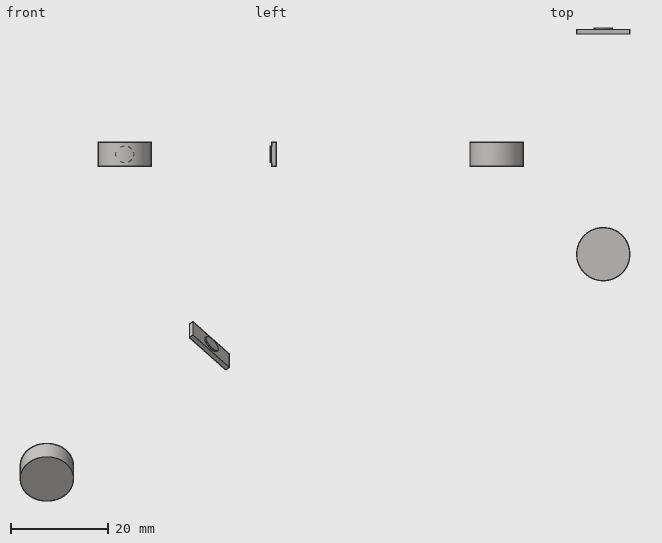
import cadquery as cq

overall_length = 52.05
height = 5.0
disc_diameter = 11.0

plate_width = disc_diameter
plate_thickness = 1.0

pad_width = 3.75
pad_height = 3.4
pad_thickness = 0.3

back_y = overall_length - disc_diameter / 2
plate_back_y = back_y - pad_thickness
plate_center_y = plate_back_y - plate_thickness / 2


def make_disc():
    """Plain round disc standing on the XY plane."""
    return cq.Workplane("XY").circle(disc_diameter / 2).extrude(height)


def make_plate():
    """Upright plate with a low oval pad centred on its back face."""
    plate = (
        cq.Workplane("XY")
        .center(0, plate_center_y)
        .rect(plate_width, plate_thickness)
        .extrude(height)
    )
    pad = (
        cq.Workplane("XZ", origin=(0, plate_center_y, height / 2))
        .ellipse(pad_width / 2, pad_height / 2)
        .extrude(-(plate_thickness / 2 + pad_thickness))
    )
    return plate.union(pad)


disc = make_disc()
plate = make_plate()

result = cq.Compound.makeCompound([disc.val(), *plate.solids().vals()])